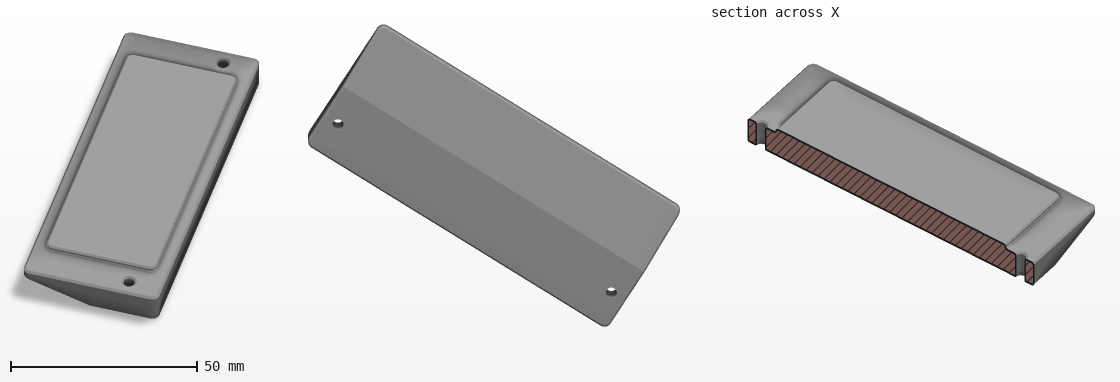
import cadquery as cq

WIDTH = 38.0
LENGTH = 96
BASE_HEIGHT = 8.3
TAPER_RISE = 5.6
TAPER_LENGTH = WIDTH / 2
CORNER_RADIUS = 2.0
TOP_CHAMFER = 0.6
BOTTOM_CHAMFER = 0.5

PAD_HEIGHT = 1.4
PAD_WIDTH = 30.9
PAD_LENGTH = 77.0
PAD_RADIUS = 1.8
PAD_CHAMFER = 0.5
SKIRT = 0.5

HOLE_DIAMETER = 3.0
COUNTERSINK_DIAMETER = 4.0
COUNTERSINK_ANGLE = 90
HOLE_X = 9.7
HOLE_SPACING = 87.1


def rounded_block(width, length, height, radius, bottom):
    """Centred block with rounded vertical corners, standing on the given level."""
    block = cq.Workplane("XY").workplane(offset=bottom).rect(width, length).extrude(height)
    return block.edges("|Z").fillet(radius)


def make_base():
    """Rounded plate, flat on top and tapered underneath toward -X."""
    left = -WIDTH / 2
    taper_cut = (
        cq.Workplane("XZ")
        .polyline([(left, 0), (left + TAPER_LENGTH, 0), (left, TAPER_RISE)])
        .close()
        .extrude(LENGTH / 2, both=True)
    )
    base = rounded_block(WIDTH, LENGTH, BASE_HEIGHT, CORNER_RADIUS, 0).cut(taper_cut)
    base = base.faces(">Z").chamfer(TOP_CHAMFER)
    taper_middle = (left + TAPER_LENGTH / 2, 0, TAPER_RISE / 2)
    underside = base.faces("<Z").vals() + base.faces(cq.selectors.NearestToPointSelector(taper_middle)).vals()
    fold = base.faces("<Z").edges("<X").val()
    rim = [edge for face in underside for edge in face.Edges() if not edge.isSame(fold)]
    return base.newObject(rim).chamfer(BOTTOM_CHAMFER)


def make_pad():
    """Raised pad, chamfered around its top and flaring outward at its foot."""
    pad = rounded_block(PAD_WIDTH, PAD_LENGTH, PAD_HEIGHT, PAD_RADIUS, BASE_HEIGHT)
    skirt = rounded_block(
        PAD_WIDTH + 2 * SKIRT, PAD_LENGTH + 2 * SKIRT, SKIRT, PAD_RADIUS + SKIRT, BASE_HEIGHT - SKIRT
    )
    skirt = skirt.faces(">Z").wires().toPending().extrude(SKIRT, taper=45, combine=False)
    return pad.faces(">Z").chamfer(PAD_CHAMFER).union(skirt)


def drill_holes(body):
    return (
        body.copyWorkplane(cq.Workplane("XY", origin=(0, 0, BASE_HEIGHT)))
        .pushPoints([(HOLE_X, side * HOLE_SPACING / 2) for side in (-1, 1)])
        .cskHole(HOLE_DIAMETER, COUNTERSINK_DIAMETER, COUNTERSINK_ANGLE)
    )


result = drill_holes(make_base().union(make_pad()))